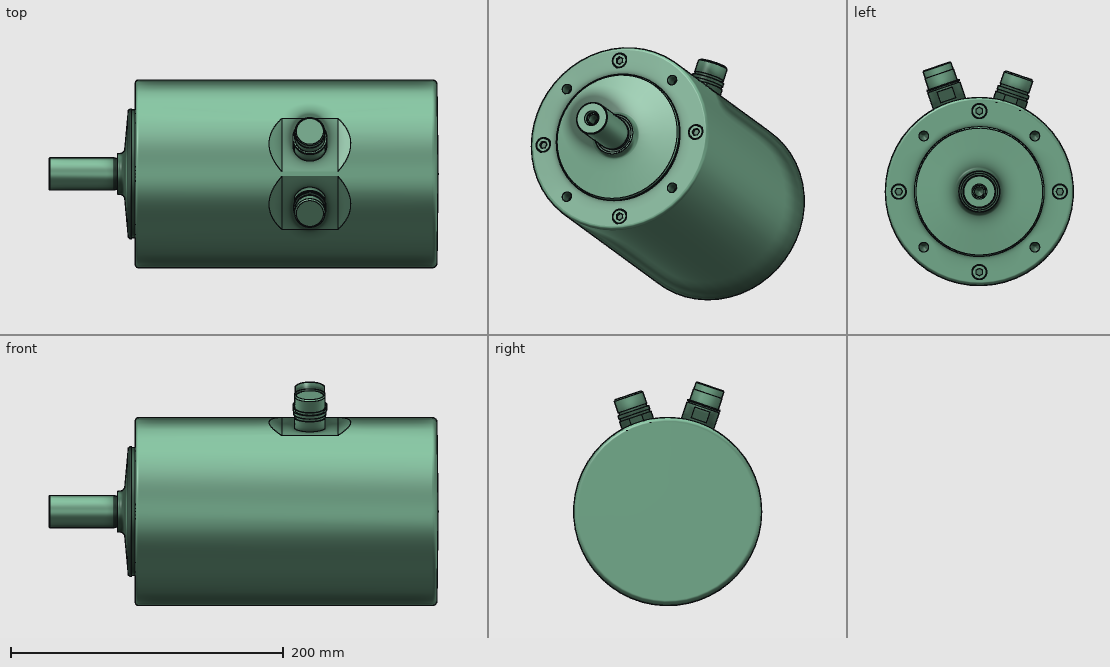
import cadquery as cq
import math

length = 285.0
body_radius = 69.0
flange_x = 63.0
flange_fillet = 2.5
cover_rise = 0.9
cover_fillet = 3.7

pilot_radius = 47.5
pilot_chamfer = 1.0
pilot_front_x = 57.9
relief_x = 60.5
relief_radius = 47.0
hub_cone_x = 55.3
hub_cone_radius = 18.5

hub_front_x = 50.0
hub_radius = 15.0
hub_lip_height = 0.3
hub_lip_length = 1.0
hub_bore_radius = 13.5
hub_bore_depth = 1.7
shaft_radius = 12.0
shaft_chamfer = 0.5
neck_taper_x = 47.3
neck_x = 49.0
neck_radius = 11.5

centre_mouth_diameter = 11.0
centre_mouth_angle = 60.0
centre_recess_diameter = 9.0
centre_recess_depth = 3.5
centre_thread_diameter = 7.0
centre_thread_depth = 17.0
drill_tip_angle = 118.0

thread_diameter = 7.0
thread_depth = 14.2
thread_circle_radius = 57.5
screw_circle_radius = 59.0
screw_bore_diameter = 11.0
screw_head_diameter = 10.0
screw_gap_depth = 2.8
socket_across_flats = 4.8
socket_depth = 2.5

seat_angle = 18.8
seat_x = 191.0
seat_depth = 3.0
seat_height = body_radius - seat_depth
seat_side = 2 * math.sqrt(body_radius**2 - seat_height**2)
seat_ramp = 9.5


def along_x(x, z):
    """Workplane at a point above the motor axis, facing into the motor along +X."""
    return cq.Workplane(cq.Plane(origin=(x, 0, z), xDir=(0, 1, 0), normal=(1, 0, 0)))


def drilled_hole(diameter, depth):
    """Blind hole with a conical bottom, running along +X from the origin."""
    radius = diameter / 2
    tip = radius / math.tan(math.radians(drill_tip_angle / 2))
    return (
        cq.Workplane("XY")
        .polyline([(0, 0), (0, radius), (depth, radius), (depth + tip, 0)])
        .close()
        .revolve(360, (0, 0, 0), (1, 0, 0))
    )


def fillet_inset(radius):
    """Distance of a fillet's middle point from each of its two tangent lines."""
    return radius * (1 - math.sqrt(0.5))


def turned_motor():
    hub_fillet = hub_cone_radius - hub_radius
    hub_inset = fillet_inset(hub_fillet)
    flange_inset = fillet_inset(flange_fillet)
    cover_inset = fillet_inset(cover_fillet)
    cover_edge_x = length - cover_rise
    return (
        cq.Workplane("XY")
        .moveTo(0, 0)
        .lineTo(0, shaft_radius - shaft_chamfer)
        .lineTo(shaft_chamfer, shaft_radius)
        .lineTo(neck_taper_x, shaft_radius)
        .lineTo(neck_x, neck_radius)
        .lineTo(hub_front_x + hub_bore_depth, neck_radius)
        .lineTo(hub_front_x + hub_bore_depth, hub_bore_radius)
        .lineTo(hub_front_x, hub_bore_radius)
        .lineTo(hub_front_x, hub_radius - hub_lip_height)
        .lineTo(hub_front_x + hub_lip_length, hub_radius)
        .lineTo(hub_cone_x - hub_fillet, hub_radius)
        .threePointArc(
            (hub_cone_x - hub_inset, hub_radius + hub_inset),
            (hub_cone_x, hub_cone_radius),
        )
        .lineTo(pilot_front_x, pilot_radius - pilot_chamfer)
        .lineTo(pilot_front_x + pilot_chamfer, pilot_radius)
        .lineTo(relief_x, pilot_radius)
        .lineTo(relief_x, relief_radius)
        .lineTo(flange_x, relief_radius)
        .lineTo(flange_x, body_radius - flange_fillet)
        .threePointArc(
            (flange_x + flange_inset, body_radius - flange_inset),
            (flange_x + flange_fillet, body_radius),
        )
        .lineTo(cover_edge_x - cover_fillet, body_radius)
        .threePointArc(
            (cover_edge_x - cover_inset, body_radius - cover_inset),
            (cover_edge_x, body_radius - cover_fillet),
        )
        .lineTo(length, 0)
        .close()
        .revolve(360, (0, 0, 0), (1, 0, 0))
    )


def centre_hole():
    mouth = centre_mouth_diameter / 2
    recess = centre_recess_diameter / 2
    countersink_depth = (mouth - recess) / math.tan(math.radians(centre_mouth_angle / 2))
    recess_cut = (
        cq.Workplane("XY")
        .polyline([
            (0, 0),
            (0, mouth),
            (countersink_depth, recess),
            (centre_recess_depth, recess),
            (centre_recess_depth, 0),
        ])
        .close()
        .revolve(360, (0, 0, 0), (1, 0, 0))
    )
    return recess_cut.union(drilled_hole(centre_thread_diameter, centre_thread_depth))


def flange_screw_cut():
    """Gap around a sunk screw head and its hexagon socket, at the top of the flange."""
    gap = (
        along_x(flange_x, screw_circle_radius)
        .circle(screw_bore_diameter / 2)
        .circle(screw_head_diameter / 2)
        .extrude(screw_gap_depth)
    )
    across_corners = 2 * socket_across_flats / math.sqrt(3)
    socket = (
        along_x(flange_x, screw_circle_radius)
        .transformed(rotate=(0, 0, 90))
        .polygon(6, across_corners)
        .extrude(socket_depth)
    )
    return gap.union(socket)


def seat_cut():
    """Flat with sloping ends, cut straight across the top of the shell."""
    half = seat_side / 2
    clear = 2
    rise = clear * seat_depth
    run = half + clear * seat_ramp
    return (
        cq.Workplane("XZ", origin=(seat_x, 0, seat_height))
        .polyline([(-half, 0), (half, 0), (run, rise), (-run, rise)])
        .close()
        .extrude(half, both=True)
    )


def tilted(shape, angle):
    """Shape turned about the motor axis; a negative angle tips +Z toward +Y."""
    return shape.rotate((0, 0, 0), (1, 0, 0), angle)


def build_motor():
    motor = turned_motor().cut(centre_hole())
    thread_hole = drilled_hole(thread_diameter, thread_depth).translate(
        (flange_x, 0, thread_circle_radius)
    )
    for quarter in range(4):
        motor = motor.cut(tilted(flange_screw_cut(), 90 * quarter))
        motor = motor.cut(tilted(thread_hole, 90 * quarter + 45))
    for angle in (-seat_angle, seat_angle):
        motor = motor.cut(tilted(seat_cut(), angle))
    return motor


def turned_connector(steps, tip_radius, tip_chamfer):
    """Stack of cylinders from the seat upward, with a chamfered tip.

    Each step is (radius, height of its top).
    """
    outline = cq.Workplane("XZ").moveTo(0, 0)
    bottom = 0.0
    for radius, top in steps:
        outline = outline.lineTo(radius, bottom).lineTo(radius, top)
        bottom = top
    tip = bottom + tip_chamfer
    return (
        outline.lineTo(tip_radius, tip)
        .lineTo(0, tip)
        .close()
        .revolve(360, (0, 0, 0), (0, 1, 0))
    )


def wrench_flats(radius, chord, bottom, top):
    """Cutters for two flats of the given chord width on the -X and +X sides of a shank."""
    inner = math.sqrt(radius**2 - (chord / 2) ** 2)
    return (
        cq.Workplane("XY", origin=(0, 0, bottom))
        .pushPoints([(-radius, 0), (radius, 0)])
        .rect(2 * (radius - inner), 2 * radius)
        .extrude(top - bottom)
    )


def on_seat(connector, angle):
    """Connector standing on the seat that is tilted by the given angle."""
    return tilted(connector.translate((seat_x, 0, seat_height)), angle)


power_radius = 12.5
power_flat_width = 11.7
power_flat_bottom = 4.8
power_flat_top = 13.0
power_tip_radius = 10.0
power_tip_chamfer = 0.5
power_steps = [
    (power_radius, 14.8),
    (11.5, 16.0),
    (power_radius, 16.8),
    (11.0, 25.5),
    (10.8, 30.5),
]


def build_power_connector():
    connector = turned_connector(power_steps, power_tip_radius, power_tip_chamfer)
    flats = wrench_flats(power_radius, power_flat_width, power_flat_bottom, power_flat_top)
    return on_seat(connector.cut(flats), -seat_angle)


signal_radius = 12.3
signal_shank_height = 7.7
signal_flat_width = 9.7
signal_tip_radius = 10.0
signal_tip_chamfer = 1.0
signal_steps = [
    (signal_radius, signal_shank_height),
    (11.5, 9.7),
    (12.0, 12.3),
    (10.5, 14.2),
    (11.0, 23.0),
]


def build_signal_connector():
    connector = turned_connector(signal_steps, signal_tip_radius, signal_tip_chamfer)
    flats = wrench_flats(signal_radius, signal_flat_width, 0, signal_shank_height)
    return on_seat(connector.cut(flats), seat_angle)


motor = build_motor()
power_connector = build_power_connector()
signal_connector = build_signal_connector()

result = cq.Compound.makeCompound(
    [motor.val(), power_connector.val(), signal_connector.val()]
)